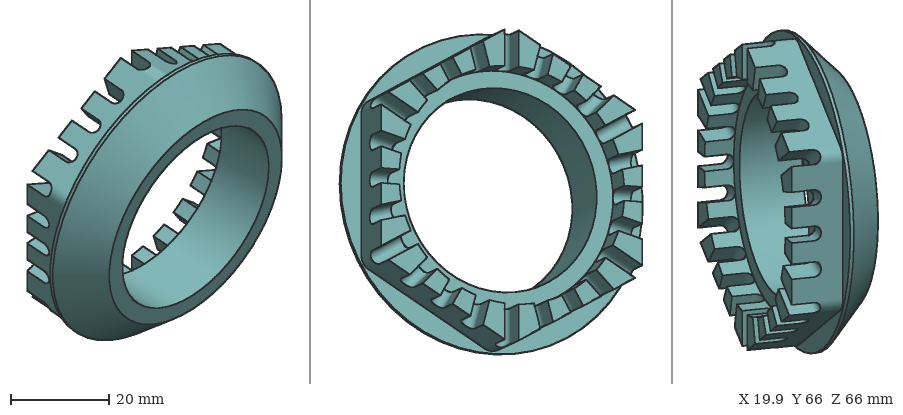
import cadquery as cq
import math

total_length = 19.9
crown_length = 11.0
rim_thickness = 0.8
cone_length = total_length - crown_length - rim_thickness

flange_diameter = 66.0
cone_end_diameter = flange_diameter - 2 * cone_length
bore_diameter = 42.2
recess_diameter = 49.25

hex_sides = 6
hex_across_flats = 57.1
hex_across_corners = hex_across_flats / math.cos(math.pi / hex_sides)
hex_corner_radius = 3.2

slot_count = 24
slot_width = 3.1
slot_depth = 6.35
recess_depth = slot_depth


def make_flange():
    """Thin round rim followed by the 45 degree cone, revolved about X."""
    rim_end = crown_length + rim_thickness
    profile = [
        (crown_length, 0),
        (crown_length, flange_diameter / 2),
        (rim_end, flange_diameter / 2),
        (total_length, cone_end_diameter / 2),
        (total_length, 0),
    ]
    return cq.Workplane("XY").polyline(profile).close().revolve(360, (0, 0), (1, 0))


def make_crown():
    """Hexagonal prism with rounded corners, two of them on the Z axis."""
    return (
        cq.Workplane("YZ")
        .polygon(hex_sides, hex_across_corners)
        .extrude(crown_length)
        .edges("|X")
        .fillet(hex_corner_radius)
        .rotate((0, 0, 0), (1, 0, 0), 90)
    )


def make_slot(angle):
    """Radial cutter from the axis outwards, open at X = 0 with a rounded floor."""
    half_width = slot_width / 2
    straight_depth = slot_depth - half_width
    return (
        cq.Workplane("XY")
        .moveTo(0, -half_width)
        .lineTo(straight_depth, -half_width)
        .threePointArc((slot_depth, 0), (straight_depth, half_width))
        .lineTo(0, half_width)
        .close()
        .extrude(flange_diameter / 2)
        .rotate((0, 0, 0), (1, 0, 0), angle)
    )


def make_round_hole(diameter, depth):
    """Cylindrical cutter on the X axis, starting at the toothed end."""
    return cq.Workplane("YZ").circle(diameter / 2).extrude(depth)


result = make_flange().union(make_crown())
result = result.cut(make_round_hole(bore_diameter, total_length))
result = result.cut(make_round_hole(recess_diameter, recess_depth))
for index in range(slot_count):
    result = result.cut(make_slot(index * 360 / slot_count))